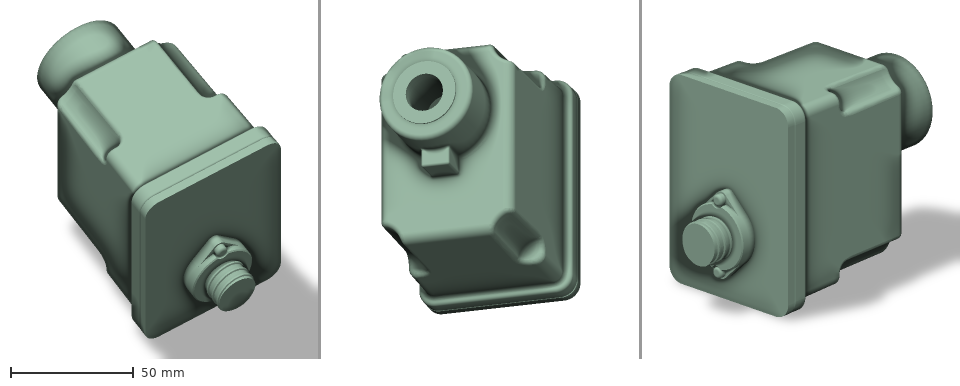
import cadquery as cq
import math


FLANGE_WIDTH = 66.0
FLANGE_HEIGHT = 92.0
COVER_THICKNESS = 3.8
COVER_CORNER = 6.8

FLANGE_FRONT_X = -11.3
FLANGE_CORNER = 7.1
FLANGE_EDGE_FILLET = 1.5
FLANGE_SEAM_FILLET = 1.0
BOX_FRONT_X = -75.1
BOX_FRONT_WIDTH = 57.2
BOX_FRONT_HEIGHT = 82.6
BOX_DRAFT = 1.0
BOX_FRONT_CORNER = 4.1
BOX_BACK_CORNER = 4.2
BOX_FRONT_FILLET = 4.0

SCOOP_RADIUS = 9.7
SCOOP_END_X = -36.0
SCOOP_END_FILLET = 4.2
SCOOP_RIM_FILLET = 1.9
SCOOP_AXIS_Y = 29.2
SCOOP_AXIS_Z = 42.4

NOSE_Z = 12.2
NOSE_DIAMETER = 40.0
NOSE_TIP_X = -102.1
NOSE_TIP_FILLET = 1.9
NOSE_ROOT_FILLET = 2.0

TAB_WIDTH = 12.1
TAB_FRONT_X = -89.2
TAB_BOTTOM_Z = -14.8
TAB_FILLET = 1.0

GROMMET_DIAMETER = 26.9
GROMMET_HOLE = 16.0
GROMMET_FRONT_X = -102.8

CONNECTOR_Z = -16.0
DISC_RADIUS = 14.5
DISC_THICKNESS = 7.4
DISC_CHAMFER = 0.5
EAR_RADIUS = 3.3
EAR_CENTER = DISC_RADIUS * math.sqrt(2) - EAR_RADIUS * math.sqrt(2)
EAR_CENTERS = [(0, EAR_CENTER), (0, -EAR_CENTER)]
EAR_THICKNESS = 4.5
SCREW_HEAD_DIAMETER = 5.0
SCREW_HEAD_FILLET = 1.2
SCREW_RELIEF_RADIUS = 3.3
BARREL_RADIUS = 8.8
BARREL_END_X = 18.2
THREAD_HEIGHT = 0.6
THREAD_PITCH = 3.6
THREAD_ROOT_WIDTH = 1.5
THREAD_CREST_WIDTH = 0.7
THREAD_START_X = 3.8
THREAD_TURNS = 5
THREAD_OVERLAP = 0.1

CUT_MARGIN = 12.1
TOLERANCE = 0.001


def section(x, z=0.0):
    """Workplane square to X, with local axes Y and Z, centred at height z."""
    return cq.Workplane("YZ", origin=(x, 0, z))


def on_surface(edge, shape):
    """True if the middle of the edge lies on the outer surface of the shape."""
    middle = cq.Vertex.makeVertex(*edge.positionAt(0.5).toTuple())
    return shape.Shells()[0].distance(middle) < TOLERANCE


def fillet_seam(shape, first, second, radius):
    """Round the edges of the shape where the surfaces of two parts of it cross."""
    seam = [e for e in shape.val().Edges() if on_surface(e, first.val()) and on_surface(e, second.val())]
    return cq.Workplane(shape.val().fillet(radius, seam))


def join_with_fillet(first, second, radius):
    return fillet_seam(first.union(second), first, second, radius)


def make_scoop(side_y, side_z):
    """Round-ended cutter running along one long corner of the box."""
    start_x = BOX_FRONT_X - CUT_MARGIN
    center = (side_y * SCOOP_AXIS_Y, side_z * SCOOP_AXIS_Z)
    scoop = section(start_x).center(*center).circle(SCOOP_RADIUS).extrude(SCOOP_END_X - start_x)
    return scoop.faces(">X").edges().fillet(SCOOP_END_FILLET)


def make_box():
    """Drafted box that widens towards the flange, with rounded front edges and long corners."""
    length = FLANGE_FRONT_X - BOX_FRONT_X
    widening = 2 * length * math.tan(math.radians(BOX_DRAFT))
    back_width = BOX_FRONT_WIDTH + widening
    back_height = BOX_FRONT_HEIGHT + widening
    front = cq.Sketch().rect(BOX_FRONT_WIDTH, BOX_FRONT_HEIGHT).vertices().fillet(BOX_FRONT_CORNER)
    back = cq.Sketch().rect(back_width, back_height).vertices().fillet(BOX_BACK_CORNER)
    box = section(BOX_FRONT_X).placeSketch(front, back.moved(cq.Location(cq.Vector(0, 0, length)))).loft()
    return box.faces("<X").edges().fillet(BOX_FRONT_FILLET)


def make_flange():
    """Rim that carries the cover, rounded at the front and where it meets the cover."""
    flange = section(FLANGE_FRONT_X).rect(FLANGE_WIDTH, FLANGE_HEIGHT)
    flange = flange.extrude(-COVER_THICKNESS - FLANGE_FRONT_X)
    flange = flange.edges("|X").fillet(FLANGE_CORNER)
    flange = flange.faces("<X").edges().fillet(FLANGE_EDGE_FILLET)
    return flange.faces(">X").edges().fillet(FLANGE_SEAM_FILLET)


def make_nose():
    """Round cable entry with a rounded tip."""
    nose = section(NOSE_TIP_X, NOSE_Z).circle(NOSE_DIAMETER / 2).extrude(BOX_FRONT_X - NOSE_TIP_X)
    return nose.faces("<X").edges().fillet(NOSE_TIP_FILLET)


def make_tab():
    """Block with rounded edges that hangs under the nose against the front of the box."""
    height = NOSE_Z - TAB_BOTTOM_Z
    tab = section(TAB_FRONT_X, TAB_BOTTOM_Z + height / 2).rect(TAB_WIDTH, height)
    tab = tab.extrude(BOX_FRONT_X - TAB_FRONT_X)
    tab = tab.edges("|X and <Z").fillet(TAB_FILLET)
    return tab.faces("<X").edges("not >Z").fillet(TAB_FILLET)


def make_housing():
    housing = join_with_fillet(make_box(), make_flange(), FLANGE_EDGE_FILLET)
    housing = join_with_fillet(housing, make_nose(), NOSE_ROOT_FILLET)
    housing = join_with_fillet(housing, make_tab(), TAB_FILLET)
    for side_y in (-1, 1):
        for side_z in (-1, 1):
            scoop = make_scoop(side_y, side_z)
            housing = fillet_seam(housing.cut(scoop), housing, scoop, SCOOP_RIM_FILLET)
    bore = section(NOSE_TIP_X, NOSE_Z).circle(GROMMET_DIAMETER / 2).extrude(BOX_FRONT_X - NOSE_TIP_X)
    return housing.cut(bore)


def make_cover():
    cover = section(-COVER_THICKNESS).rect(FLANGE_WIDTH, FLANGE_HEIGHT).extrude(COVER_THICKNESS)
    return cover.edges("|X").fillet(COVER_CORNER)


def make_grommet():
    """Bushing seated in the nose, standing slightly proud of its tip."""
    grommet = section(GROMMET_FRONT_X, NOSE_Z).circle(GROMMET_DIAMETER / 2).circle(GROMMET_HOLE / 2)
    return grommet.extrude(BOX_FRONT_X - GROMMET_FRONT_X)


def make_ears():
    """Two mounting ears whose straight sides are tangent to the disc at 45 degrees."""
    diagonal = math.sqrt(0.5)
    disc_tangent = DISC_RADIUS * diagonal
    ear_tangent_y = EAR_RADIUS * diagonal
    ear_tangent_z = EAR_CENTER + ear_tangent_y
    ear_top = EAR_CENTER + EAR_RADIUS
    outline = section(0, CONNECTOR_Z).moveTo(-disc_tangent, disc_tangent)
    outline = outline.lineTo(-ear_tangent_y, ear_tangent_z)
    outline = outline.threePointArc((0, ear_top), (ear_tangent_y, ear_tangent_z))
    outline = outline.lineTo(disc_tangent, disc_tangent).lineTo(disc_tangent, -disc_tangent)
    outline = outline.lineTo(ear_tangent_y, -ear_tangent_z)
    outline = outline.threePointArc((0, -ear_top), (-ear_tangent_y, -ear_tangent_z))
    outline = outline.lineTo(-disc_tangent, -disc_tangent).close()
    return outline.extrude(EAR_THICKNESS)


def make_screw_heads():
    heads = section(EAR_THICKNESS, CONNECTOR_Z).pushPoints(EAR_CENTERS).circle(SCREW_HEAD_DIAMETER / 2)
    heads = heads.extrude(DISC_THICKNESS - EAR_THICKNESS)
    return heads.faces(">X").edges().fillet(SCREW_HEAD_FILLET)


def make_thread():
    """Right-handed thread ridge, long enough to run out past both ends of the barrel."""
    root_radius = BARREL_RADIUS - THREAD_OVERLAP
    crest_radius = BARREL_RADIUS + THREAD_HEIGHT
    length = THREAD_TURNS * THREAD_PITCH
    helix = cq.Wire.makeHelix(THREAD_PITCH, length, root_radius)
    profile = cq.Workplane("XZ").polyline([
        (root_radius, -THREAD_ROOT_WIDTH / 2),
        (crest_radius, -THREAD_CREST_WIDTH / 2),
        (crest_radius, THREAD_CREST_WIDTH / 2),
        (root_radius, THREAD_ROOT_WIDTH / 2),
    ]).close()
    thread = profile.sweep(cq.Workplane(helix), isFrenet=True)
    thread = thread.rotate((0, 0, 0), (0, 1, 0), 90)
    return thread.translate((THREAD_START_X, 0, CONNECTOR_Z))


def make_connector():
    disc = section(0, CONNECTOR_Z).circle(DISC_RADIUS).extrude(DISC_THICKNESS)
    disc = disc.faces(">X").edges().chamfer(DISC_CHAMFER)
    relief = section(EAR_THICKNESS, CONNECTOR_Z).pushPoints(EAR_CENTERS).circle(SCREW_RELIEF_RADIUS)
    disc = disc.cut(relief.extrude(DISC_THICKNESS - EAR_THICKNESS))
    barrel_length = BARREL_END_X - DISC_THICKNESS
    barrel = section(DISC_THICKNESS, CONNECTOR_Z).circle(BARREL_RADIUS).extrude(barrel_length)
    thread_zone = section(DISC_THICKNESS, CONNECTOR_Z).circle(DISC_RADIUS).extrude(barrel_length)
    barrel = barrel.union(make_thread().intersect(thread_zone))
    return disc.union(make_ears()).union(make_screw_heads()).union(barrel)


housing = make_housing()
cover = make_cover()
grommet = make_grommet()
connector = make_connector()
result = cq.Compound.makeCompound([housing.val(), cover.val(), grommet.val(), connector.val()])